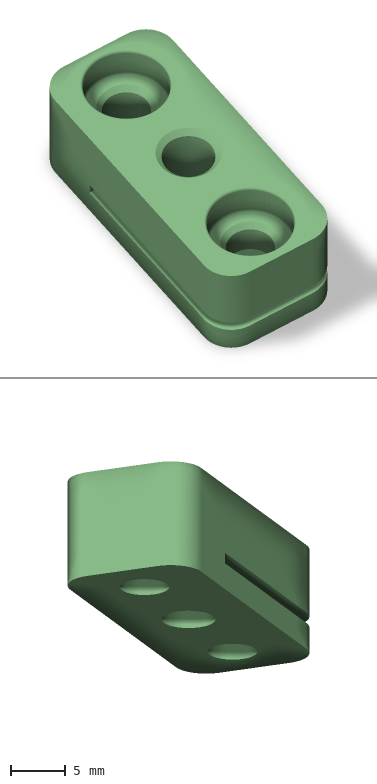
import cadquery as cq
import math

length = 30.0
width = 13.0
height = 10.0
corner_radius = 3.0

slot_floor = 2.5
slot_height = 1.02
slot_start = 8.52

centre_diameter = 4.92
centre_chamfer = 0.55

screw_spacing = 20.0
screw_diameter = 4.5
screw_chamfer = 0.5
bore_diameter = 8.0
bore_depth = 3.25
bore_fillet = 0.3


def make_block():
    block = cq.Workplane("XY").box(length, width, height, centered=(True, True, False))
    return block.edges("|Z").fillet(corner_radius)


def make_slot():
    slot_length = length - slot_start
    slot = cq.Workplane("XY").box(slot_length, width, slot_height, centered=(False, True, False))
    return slot.translate((slot_start - length / 2, 0, slot_floor))


def make_chamfered_hole(diameter, chamfer, top):
    """Through-hole cutter whose rim at height top is opened by a 45 degree chamfer."""
    radius = diameter / 2
    profile = cq.Workplane("XZ").polyline([
        (0, 0),
        (radius, 0),
        (radius, top - chamfer),
        (radius + chamfer, top),
        (0, top),
    ]).close()
    return profile.revolve(360, (0, 0, 0), (0, 1, 0))


def make_screw_hole():
    """Counterbore with a rounded rim and rounded floor, above a chamfered through-hole."""
    bore_floor = height - bore_depth
    radius = bore_diameter / 2
    arc_offset = bore_fillet * math.sqrt(0.5)
    floor_center = (radius - bore_fillet, bore_floor + bore_fillet)
    rim_center = (radius + bore_fillet, height - bore_fillet)
    bore = (
        cq.Workplane("XZ")
        .moveTo(0, bore_floor)
        .lineTo(floor_center[0], bore_floor)
        .threePointArc(
            (floor_center[0] + arc_offset, floor_center[1] - arc_offset),
            (radius, floor_center[1]),
        )
        .lineTo(radius, rim_center[1])
        .threePointArc(
            (rim_center[0] - arc_offset, rim_center[1] + arc_offset),
            (rim_center[0], height),
        )
        .lineTo(0, height)
        .close()
        .revolve(360, (0, 0, 0), (0, 1, 0))
    )
    return bore.union(make_chamfered_hole(screw_diameter, screw_chamfer, bore_floor))


result = make_block().cut(make_slot()).cut(make_chamfered_hole(centre_diameter, centre_chamfer, height))
for side in (-1, 1):
    result = result.cut(make_screw_hole().translate((side * screw_spacing / 2, 0, 0)))